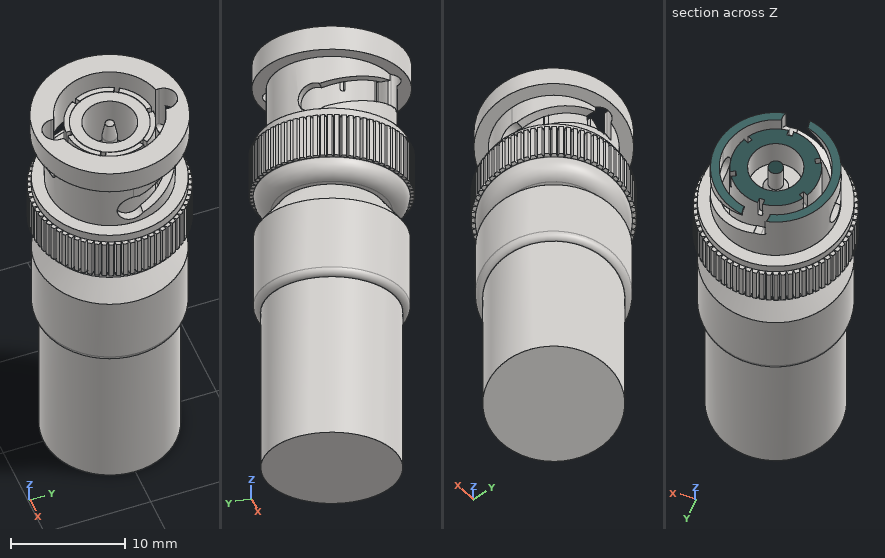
import cadquery as cq
import math

total_height = 40.75

flange_radius = 7.0
flange_depth = 2.35
barrel_radius = 5.75
barrel_end_depth = 8.25
collar_radius = 6.9
nut_bottom_depth = 14.8
nut_bottom_fillet = 1.55
nut_bore_radius = 4.93
nut_bore_depth = 12.22

knurl_radius = 7.25
knurl_start_depth = 9.13
knurl_end_depth = 13.2
tooth_count = 72
groove_width = 0.25

track_count = 2
track_width = 2.4
entry_reach = 6.27
entry_depth = 5.15
entry_corner_radius = 0.53
helix_start_depth = 3.95
helix_drop = 2.5
helix_turn = 90.0
lock_hole_radius = 1.43
lock_hole_depth = 6.35

sleeve_radius = 4.05
sleeve_bore_radius = 3.55
sleeve_top_depth = 1.0
neck_radius = 4.85
cone_end_depth = 17.4
body_radius = 6.9
body_end_depth = 24.97
body_bottom_fillet = 0.6
ferrule_radius = 6.25
sleeve_slot_count = 6
sleeve_slot_width = 0.45
sleeve_slot_end_depth = 4.8

cup_rim_depth = 1.05
cup_bore_radius = 2.45
cup_floor_depth = 6.1

pin_base_radius = 1.15
pin_bottom_depth = 8.15
pin_shoulder_depth = 5.5
pin_shaft_radius = 0.7
pin_taper_end_depth = 2.85
pin_tip_radius = 0.4
pin_tip_base_depth = 1.22
pin_top_depth = 0.75


def at_depth(depth):
    return total_height - depth


def rod(radius, start_depth, end_depth):
    """Round bar on the axis between two depths."""
    length = end_depth - start_depth
    return cq.Workplane("XY").workplane(offset=at_depth(end_depth)).circle(radius).extrude(length)


def turned(points):
    """Solid of revolution about Z from (radius, depth) points."""
    outline = [(radius, at_depth(depth)) for radius, depth in points]
    return cq.Workplane("XZ").polyline(outline).close().revolve(360, (0, 0), (0, 1))


def spun(shape, angle):
    return shape.rotate((0, 0, 0), (0, 0, 1), angle)


def entry_channel():
    """Axial round-ended keyway on the -Y side, with rounded lower corners."""
    half_width = track_width / 2
    arc_centre = entry_reach - half_width
    keyway = (
        cq.Workplane("XY")
        .workplane(offset=at_depth(entry_depth))
        .moveTo(-half_width, -sleeve_radius)
        .lineTo(-half_width, -arc_centre)
        .threePointArc((0, -entry_reach), (half_width, -arc_centre))
        .lineTo(half_width, -sleeve_radius)
        .close()
        .extrude(entry_depth)
    )
    corner_block = (
        cq.Workplane("XY")
        .box(track_width, 2 * entry_reach, entry_depth, centered=(True, True, False))
        .edges("|Y and <Z")
        .fillet(entry_corner_radius)
        .translate((0, 0, at_depth(entry_depth)))
    )
    return keyway.intersect(corner_block)


def helical_channel():
    """Ramp that drops from the -Y side to the -X side along a right-handed helix."""
    helix_pitch = helix_drop * 360 / helix_turn
    lead_angle = math.atan2(helix_pitch, 2 * math.pi * barrel_radius)
    channel_height = track_width / math.cos(lead_angle)
    wall_middle = (sleeve_radius + entry_reach) / 2
    path = cq.Wire.makeHelix(helix_pitch, helix_drop, wall_middle)
    ramp = (
        cq.Workplane("XZ")
        .center(wall_middle, 0)
        .rect(entry_reach - sleeve_radius, channel_height)
        .sweep(cq.Workplane(path), isFrenet=True)
    )
    return spun(ramp, 180).translate((0, 0, at_depth(helix_start_depth + helix_drop)))


def lock_hole():
    """Round radial hole on the -X side that ends the ramp."""
    return (
        cq.Workplane("YZ")
        .workplane(offset=-entry_reach)
        .center(0, at_depth(lock_hole_depth))
        .circle(lock_hole_radius)
        .extrude(entry_reach - sleeve_radius)
    )


def knurl():
    """Toothed band with V grooves cut down to the collar."""
    band_length = knurl_end_depth - knurl_start_depth
    groove = (
        cq.Workplane("XY")
        .workplane(offset=at_depth(knurl_end_depth))
        .polyline(
            [
                (collar_radius, 0),
                (knurl_radius, groove_width / 2),
                (knurl_radius, -groove_width / 2),
            ]
        )
        .close()
        .extrude(band_length)
    )
    pitch_angle = 360 / tooth_count
    grooves = [spun(groove, (index + 0.5) * pitch_angle).val() for index in range(tooth_count)]
    band = rod(knurl_radius, knurl_start_depth, knurl_end_depth)
    return band.cut(cq.Workplane(cq.Compound.makeCompound(grooves)))


def coupling_nut():
    collar = rod(collar_radius, barrel_end_depth, nut_bottom_depth)
    nut = (
        collar.faces("<Z")
        .edges()
        .fillet(nut_bottom_fillet)
        .union(rod(barrel_radius, 0, barrel_end_depth))
        .union(rod(flange_radius, 0, flange_depth))
        .union(knurl())
        .cut(rod(nut_bore_radius, 0, nut_bore_depth))
        .cut(rod(sleeve_radius, nut_bore_depth, nut_bottom_depth))
    )
    for index in range(track_count):
        for channel in (entry_channel(), helical_channel(), lock_hole()):
            nut = nut.cut(spun(channel, index * 360 / track_count))
    return nut


def sleeve_slot():
    """Axial slot through the sleeve on the +X side, with a round lower end."""
    half_width = sleeve_slot_width / 2
    arc_centre = sleeve_slot_end_depth - half_width
    return (
        cq.Workplane("YZ")
        .moveTo(-half_width, total_height)
        .lineTo(-half_width, at_depth(arc_centre))
        .threePointArc((0, at_depth(sleeve_slot_end_depth)), (half_width, at_depth(arc_centre)))
        .lineTo(half_width, total_height)
        .close()
        .extrude(nut_bore_radius)
    )


def housing_body():
    body = rod(body_radius, cone_end_depth, body_end_depth)
    cone = turned(
        [
            (0, nut_bottom_depth),
            (neck_radius, nut_bottom_depth),
            (body_radius, cone_end_depth),
            (0, cone_end_depth),
        ]
    )
    housing = (
        body.faces("<Z")
        .edges()
        .fillet(body_bottom_fillet)
        .union(cone)
        .union(rod(ferrule_radius, body_end_depth, total_height))
        .union(rod(sleeve_radius, sleeve_top_depth, nut_bottom_depth))
        .cut(rod(sleeve_bore_radius, sleeve_top_depth, cup_floor_depth))
    )
    slot_spacing = 360 / sleeve_slot_count
    for index in range(sleeve_slot_count):
        housing = housing.cut(spun(sleeve_slot(), (index + 0.5) * slot_spacing))
    return (
        housing.union(rod(sleeve_bore_radius, cup_rim_depth, cup_floor_depth))
        .cut(rod(cup_bore_radius, cup_rim_depth, cup_floor_depth))
        .cut(rod(pin_base_radius, cup_floor_depth, pin_bottom_depth))
    )


def centre_pin():
    """Stepped contact pin: cone tip, tapered lead-in, plain shaft, shoulder and base."""
    return turned(
        [
            (0, pin_top_depth),
            (pin_tip_radius, pin_tip_base_depth),
            (pin_shaft_radius, pin_taper_end_depth),
            (pin_shaft_radius, pin_shoulder_depth),
            (pin_base_radius, cup_floor_depth),
            (pin_base_radius, pin_bottom_depth),
            (0, pin_bottom_depth),
        ]
    )


nut = coupling_nut()
housing = housing_body()
pin = centre_pin()

result = cq.Compound.makeCompound([nut.val(), housing.val(), pin.val()])